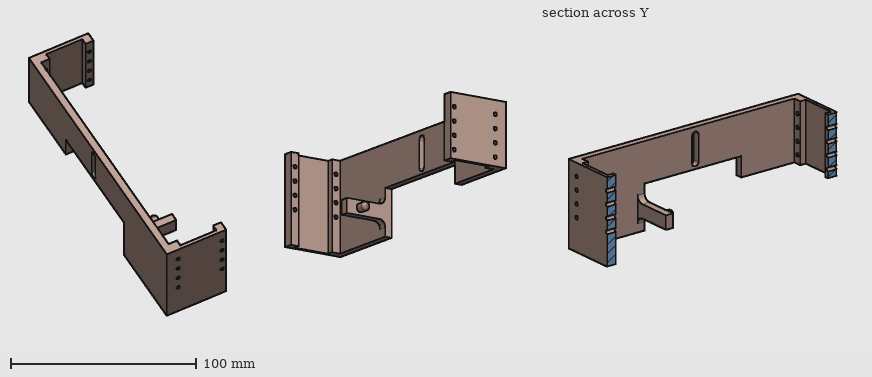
import cadquery as cq

length = 156.5
depth = 36.5
height = 52.0

front_wall = 4.4
left_bottom = 14.9
left_foot_width = 42.1
notch_top = 27.2
right_foot_start = 108.0

end_wall = 2.2
lip_width = 6.0
rear_lip_depth = 4.9
pocket_start = 9.5
pocket_end = depth - rear_lip_depth

hole_diameter = 2.0
hole_pitch = 8.0
hole_rows = 4
hole_columns = (7.0, 34.0)

slot_x = 73.4
slot_width = 4.4
slot_length = 20.0
slot_top_margin = 3.0

arm_thickness = 4.9
arm_end = 29.5
arm_height = 8.5
arm_center_z = 13.6
arm_root_radius = 4.0
pin_y = 20.5
pin_diameter = 5.0
pin_length = 6.1
pin_tip_radius = 1.9


def make_frame():
    """Front wall with two end walls, stepped along the lower edge."""
    profile = (
        cq.Workplane("XZ")
        .moveTo(0, height)
        .lineTo(length, height)
        .lineTo(length, 0)
        .lineTo(right_foot_start, 0)
        .lineTo(right_foot_start, notch_top)
        .lineTo(left_foot_width, notch_top)
        .lineTo(left_foot_width, left_bottom)
        .lineTo(0, left_bottom)
        .close()
    )
    block = profile.extrude(-depth)
    opening = cq.Workplane("XY").box(
        length - 2 * lip_width, depth - front_wall, height, centered=False
    ).translate((lip_width, front_wall, 0))
    pocket = cq.Workplane("XY").box(
        length - 2 * end_wall, pocket_end - pocket_start, height, centered=False
    ).translate((end_wall, pocket_start, 0))
    return block.cut(opening).cut(pocket)


def make_slot():
    slot_z = height - slot_top_margin - slot_length / 2
    return (
        cq.Workplane("XZ")
        .center(slot_x, slot_z)
        .slot2D(slot_length, slot_width, 90)
        .extrude(-front_wall)
    )


def make_screw_holes():
    centers = [
        (y, height - row * hole_pitch)
        for y in hole_columns
        for row in range(1, hole_rows + 1)
    ]
    return cq.Workplane("YZ").pushPoints(centers).circle(hole_diameter / 2).extrude(length)


def make_arm():
    """Flat arm blended into the wall by a concave radius above and below."""
    bottom = arm_center_z - arm_height / 2
    top = arm_center_z + arm_height / 2
    root = front_wall + arm_root_radius
    return (
        cq.Workplane("YZ", origin=(right_foot_start, 0, 0))
        .moveTo(front_wall, bottom - arm_root_radius)
        .radiusArc((root, bottom), arm_root_radius)
        .lineTo(arm_end, bottom)
        .lineTo(arm_end, top)
        .lineTo(root, top)
        .radiusArc((front_wall, top + arm_root_radius), arm_root_radius)
        .lineTo(0, top + arm_root_radius)
        .lineTo(0, bottom - arm_root_radius)
        .close()
        .extrude(arm_thickness)
    )


def make_pin():
    return (
        cq.Workplane("YZ", origin=(right_foot_start, 0, 0))
        .center(pin_y, arm_center_z)
        .circle(pin_diameter / 2)
        .extrude(-pin_length)
        .faces("<X")
        .edges()
        .fillet(pin_tip_radius)
    )


frame = make_frame().cut(make_slot()).cut(make_screw_holes())
result = frame.union(make_arm()).union(make_pin())